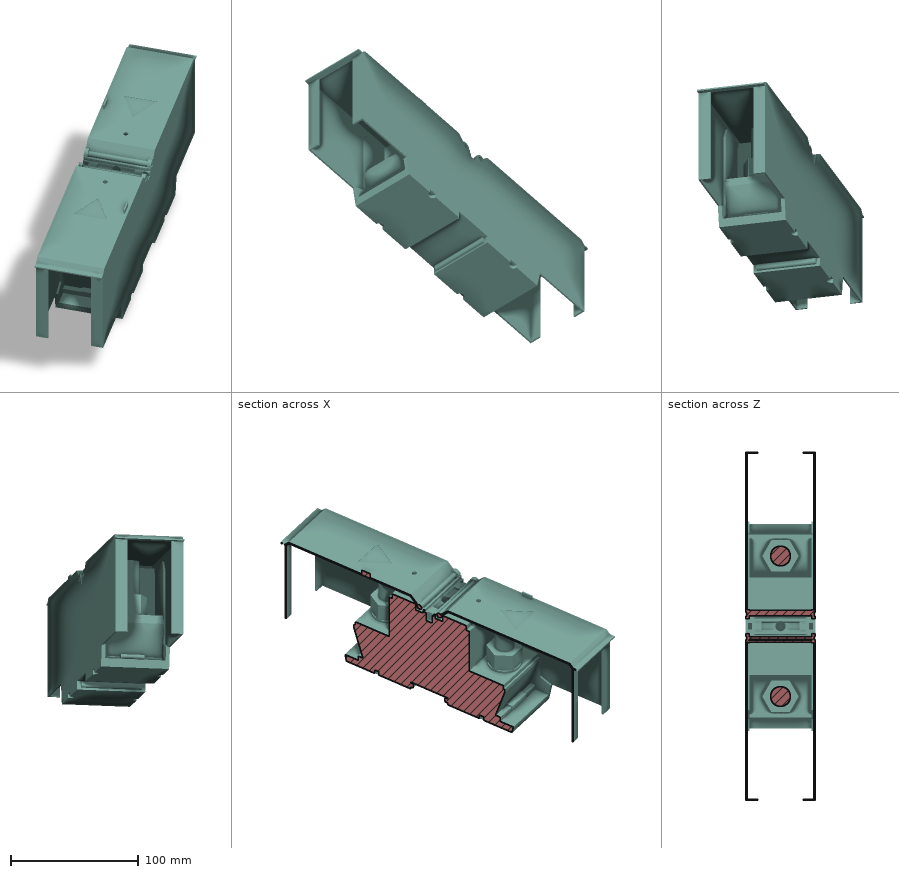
import cadquery as cq
import math


overall_width = 54.7
outer_half_width = overall_width / 2

cheek_thickness = 3.0
pocket_half_width = outer_half_width - cheek_thickness
body_top = 88.7
foot_inner_y = 17.5
foot_outer_y = 79.0
shoulder_y = 82.5
cheek_y = 72.3
cheek_bottom = 21.3
cheek_shoulder = 79.7
cheek_top_y = 66.0
rail_channel_height = 6.8

wall = 1.5
cover_bottom = 17.0
cover_top = 95.5
cover_end_y = 137.2
cover_slope_y = 17.5
cover_tip_y = 10.5
end_chamfer = 3.5
lip_end_y = 141.7
lip_thickness = 1.0
lip_top = cover_top - end_chamfer
lip_bottom = lip_top - lip_thickness
opening_half_width = 17.5

hinge_y = 9.4
hinge_z = 87.0
ear_radius = 4.3
ear_width = 3.0
pin_radius = 2.3
pin_inset = 0.5
valley_floor = 84.2
valley_half_length = 4.3
valley_wall = 1.7
valley_wall_top = 86.5
trough_floor = 82.8
trough_end_y = 12.5

stud_y = 55.3
stud_radius = 8.0
stud_top = 89.3
nut_across_corners = 28.5
nut_bottom = 46.2
nut_top = 61.2
washer_radius = 13.5
busbar_bottom = 37.5
busbar_split = 40.8
busbar_top = 44.2
busbar_end_y = 72.0
busbar_step = 1.5
back_wall_y = 38.3
back_wall_top = 84.2
back_step_y = 35.5
pocket_floor = 6.5
undercut_bottom_y = 63.5
sill_end_y = 68.0
sill_top = 10.8
catch_half_width = 9.4
catch_bottom = 9.0
catch_top = 12.5
catch_end_y = 69.5

latch_length = 2.8
latch_bottom = 1.7
latch_top = 6.5
latch_rounding = 1.7
foot_notch_y = 50.0
foot_notch_radius = 3.7
foot_notch_height = 3.5
side_notch_half_length = 2.5
side_notch_bottom = 80.8
side_notch_depth = 5.0
side_notch_outer_depth = 1.7
side_notch_inner_drop = 4.3
window_half_width = 15.0
window_half_length = 3.7
window_floor = 82.2
window_draft = 1.0
centre_hole_radius = 4.0
centre_hole_bottom = 73.7
lid_hole_y = 30.5
lid_hole_radius = 2.0
arrow_side = 27.2
arrow_tip_y = 51.5
arrow_depth = 0.3
tab_x = -24.7
tab_y = 60.0
tab_length = 8.8
tab_thickness = 1.0
tab_top = 99.5


def block(x_range, y_range, z_range):
    """Box between the given limits."""
    sizes = [high - low for low, high in (x_range, y_range, z_range)]
    corner = (x_range[0], y_range[0], z_range[0])
    return cq.Workplane("XY").box(*sizes, centered=False).translate(corner)


def centred_block(half_width, y_range, z_range):
    """Box symmetric about the YZ plane."""
    return block((-half_width, half_width), y_range, z_range)


def side_prism(points, half_width):
    """Outline of (y, z) points extruded symmetrically along X."""
    return cq.Workplane("YZ").polyline(points).close().extrude(half_width, both=True)


def upright(y, radius, bottom, top):
    """Vertical cylinder on the YZ plane."""
    return cq.Workplane("XY", origin=(0, y, bottom)).circle(radius).extrude(top - bottom)


def hinge_rod(radius, half_width):
    """Cylinder along X on the hinge axis."""
    return cq.Workplane("YZ").center(hinge_y, hinge_z).circle(radius).extrude(half_width, both=True)


def make_body():
    outline = [
        (0, rail_channel_height), (foot_inner_y, rail_channel_height), (foot_inner_y, 0),
        (foot_outer_y, 0), (shoulder_y, cover_bottom), (cheek_y, cheek_bottom), (cheek_y, cheek_shoulder),
        (cheek_top_y, body_top), (hinge_y, body_top), (hinge_y, hinge_z),
        (valley_half_length, valley_floor), (0, valley_floor),
    ]
    body = side_prism(outline, outer_half_width)
    pocket = [
        (back_step_y, body_top), (back_step_y, back_wall_top), (back_wall_y, back_wall_top),
        (back_wall_y, busbar_top), (busbar_end_y - busbar_step, busbar_top),
        (busbar_end_y - busbar_step, busbar_split), (busbar_end_y, busbar_split),
        (busbar_end_y, busbar_bottom), (undercut_bottom_y, sill_top), (sill_end_y, sill_top),
        (sill_end_y, pocket_floor), (lip_end_y, pocket_floor), (lip_end_y, body_top),
    ]
    body = body.cut(side_prism(pocket, pocket_half_width))
    catch = centred_block(catch_half_width, (undercut_bottom_y, catch_end_y), (catch_bottom, catch_top))
    latch_y = (foot_inner_y - latch_length, foot_inner_y)
    latch = centred_block(pocket_half_width, latch_y, (latch_bottom, latch_top))
    latch = latch.edges("|X and <Y").fillet(latch_rounding)
    body = body.union(catch).union(latch)
    for side in (-1, 1):
        notch = upright(foot_notch_y, foot_notch_radius, 0, foot_notch_height)
        body = body.cut(notch.translate((side * outer_half_width, 0, 0)))
    return body


def make_terminal():
    washer = upright(stud_y, washer_radius, busbar_top, nut_bottom)
    nut = cq.Workplane("XY", origin=(0, stud_y, nut_bottom)).polygon(6, nut_across_corners)
    nut = nut.extrude(nut_top - nut_bottom)
    return washer.union(nut).union(upright(stud_y, stud_radius, busbar_top, stud_top))


def make_cover():
    tip_z = cover_top - (cover_slope_y - cover_tip_y)
    outline = [
        (cover_end_y, cover_bottom), (cover_end_y, lip_top), (cover_end_y - end_chamfer, cover_top),
        (cover_slope_y, cover_top), (cover_tip_y, tip_z), (cover_slope_y, cover_bottom),
    ]
    cover = side_prism(outline, outer_half_width)
    slope_shift = wall * math.sqrt(2)
    inner_end_y = cover_end_y - wall
    inner_top = cover_top - wall
    chamfer_sum = cover_end_y + lip_top - slope_shift
    slope_offset = cover_top - cover_slope_y - slope_shift
    cavity = [
        (inner_end_y, 0), (inner_end_y, chamfer_sum - inner_end_y),
        (chamfer_sum - inner_top, inner_top), (inner_top - slope_offset, inner_top),
        (cover_tip_y, cover_tip_y + slope_offset), (cover_tip_y, 0),
    ]
    cover = cover.cut(side_prism(cavity, outer_half_width - wall))
    opening_y = (inner_end_y - wall, cover_end_y)
    cover = cover.cut(centred_block(opening_half_width, opening_y, (0, lip_bottom)))
    lip = centred_block(outer_half_width, (cover_end_y - wall, lip_end_y), (lip_bottom, lip_top))
    hole = upright(lid_hole_y, lid_hole_radius, body_top, cover_top)
    arrow_base_y = arrow_tip_y + arrow_side * math.sqrt(3) / 2
    arrow = cq.Workplane("XY", origin=(0, 0, cover_top - arrow_depth)).polyline([
        (0, arrow_tip_y), (arrow_side / 2, arrow_base_y), (-arrow_side / 2, arrow_base_y),
    ]).close().extrude(arrow_depth)
    tab = block(
        (tab_x - tab_thickness / 2, tab_x + tab_thickness / 2),
        (tab_y - tab_length / 2, tab_y + tab_length / 2),
        (cover_top - wall, tab_top),
    )
    return cover.union(lip).cut(hole).cut(arrow).union(tab)


def add_hinge(body):
    """Trough with a ridge in front of it, and a pin held between two ears."""
    ear_inner = outer_half_width - ear_width
    ear_block_y = (valley_half_length, hinge_y)
    ears = centred_block(outer_half_width, ear_block_y, (valley_floor, hinge_z))
    ears = ears.union(hinge_rod(ear_radius, outer_half_width))
    ridge_end_y = valley_half_length + valley_wall
    body = body.union(ears)
    body = body.cut(centred_block(ear_inner, (ridge_end_y, trough_end_y), (trough_floor, cover_top)))
    body = body.cut(centred_block(ear_inner, (0, ridge_end_y), (valley_wall_top, cover_top)))
    body = body.cut(centred_block(ear_inner, (trough_end_y, back_step_y), (body_top, cover_top)))
    body = body.cut(hinge_rod(pin_radius, outer_half_width))
    return body.union(hinge_rod(pin_radius, outer_half_width - pin_inset))


def finish_valley(part):
    """Shallow window with a central hole, and a stepped notch in each side of the valley."""
    floor_half_length = window_half_length - window_draft
    window = [
        (-window_half_length, valley_floor), (-floor_half_length, window_floor),
        (floor_half_length, window_floor), (window_half_length, valley_floor),
    ]
    part = part.cut(side_prism(window, window_half_width))
    part = part.cut(upright(0, centre_hole_radius, centre_hole_bottom, valley_floor))
    notch_y = (-side_notch_half_length, side_notch_half_length)
    steps = (
        (0, side_notch_outer_depth, side_notch_bottom),
        (side_notch_outer_depth, side_notch_depth, side_notch_bottom - side_notch_inner_drop),
    )
    for start, end, bottom in steps:
        notch_x = (start - outer_half_width, end - outer_half_width)
        notch = block(notch_x, notch_y, (bottom, valley_floor))
        part = part.cut(notch).cut(notch.mirror("YZ"))
    return part


half = add_hinge(make_body()).union(make_terminal()).union(make_cover())
result = finish_valley(half.union(half.rotate((0, 0, 0), (0, 0, 1), 180)))